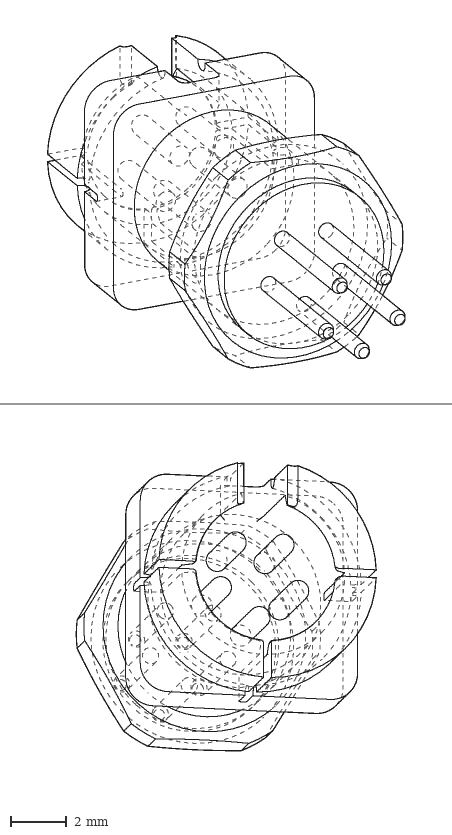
import cadquery as cq
import math


total_length = 18.0
flange_start = 3.1
flange_end = 5.5
barrel_end = 13.0

collar_radius = 4.0
flange_size = 2 * collar_radius
flange_corner_radius = 1.0
barrel_radius = 6.35 / 2

groove_radius = 0.3

edge_radius = 0.3
cavity_depth = 4.48
cavity_radius = 5.38 / 2 + edge_radius
lip_radius = 2.57
lip_end = 0.38
lip_taper_end = 0.74

key_slot_width = 1.6
slit_width = 0.29
slit_end = 4.2
slit_angles = (90, 180, 270)
slit_edge_radius = 0.15

pin_count = 5
pin_circle_radius = 1.5
pin_tip_x = 0.99
contact_radius = 0.77 / 2
tail_radius = 0.6 / 2
tail_chamfer_length = 0.2
tail_chamfer_depth = 0.09

nut_start = 10.5
nut_thickness = 2.0
nut_across_flats = flange_size
nut_corner_radius = 8.7 / 2
nut_chamfer_length = 0.36
nut_chamfer_angle = 60


def disc(start, end, radius):
    """Cylinder on the connector axis between two positions along X."""
    return cq.Workplane("YZ", origin=(start, 0, 0)).circle(radius).extrude(end - start)


def revolve_about_x(profile):
    """Turn a closed XY profile once round the connector axis."""
    return profile.revolve(360, (0, 0, 0), (1, 0, 0))


def make_shell():
    """Solid outside shape: grooved collar, square flange and round barrel."""
    collar = disc(0, flange_start, collar_radius)
    flange = (
        cq.Workplane("YZ", origin=(flange_start, 0, 0))
        .rect(flange_size, flange_size)
        .extrude(flange_end - flange_start)
        .edges("|X")
        .fillet(flange_corner_radius)
    )
    barrel = disc(flange_end, barrel_end, barrel_radius)
    groove = revolve_about_x(
        cq.Workplane("XY").moveTo(flange_start - groove_radius, collar_radius).circle(groove_radius)
    )
    return collar.cut(groove).union(flange).union(barrel)


def make_key_slot():
    """Slot open to the mating face and to the top."""
    return cq.Workplane("XY").box(
        cavity_depth, key_slot_width, flange_size, centered=(False, True, False)
    )


def make_cavity():
    """Cavity and key slot as one tool, with a rounded floor edge."""
    bore = disc(0, cavity_depth, cavity_radius)
    return bore.union(make_key_slot()).faces(">X").edges().fillet(edge_radius)


def make_lip():
    """Ring that narrows the cavity just behind the mating face."""
    outer = (cavity_radius + collar_radius) / 2
    profile = (
        cq.Workplane("XY")
        .moveTo(0, outer)
        .lineTo(0, lip_radius + edge_radius)
        .radiusArc((edge_radius, lip_radius), -edge_radius)
        .lineTo(lip_end, lip_radius)
        .lineTo(lip_taper_end, cavity_radius)
        .lineTo(lip_taper_end, outer)
        .close()
    )
    return revolve_about_x(profile)


def make_slot_mouth():
    """Key slot opening that flares out in a round edge at the mating face."""
    half = key_slot_width / 2
    return (
        cq.Workplane("XY")
        .moveTo(0, -half - edge_radius)
        .radiusArc((edge_radius, -half), -edge_radius)
        .lineTo(lip_taper_end, -half)
        .lineTo(lip_taper_end, half)
        .lineTo(edge_radius, half)
        .radiusArc((0, half + edge_radius), -edge_radius)
        .close()
        .extrude(flange_size)
    )


def make_slit(angle):
    """Narrow radial slit with a round end, turned about X from the top."""
    half = slit_width / 2
    return (
        cq.Workplane("XY")
        .moveTo(0, -half)
        .lineTo(slit_end - half, -half)
        .threePointArc((slit_end, 0), (slit_end - half, half))
        .lineTo(0, half)
        .close()
        .extrude(flange_size)
        .rotate((0, 0, 0), (1, 0, 0), angle)
    )


def make_slit_edge_rounding(angle):
    """Tool that rounds the two edges where a slit breaks through the lip bore."""
    half = slit_width / 2
    outer_half = half + slit_edge_radius
    base = math.sqrt(lip_radius**2 - outer_half**2)
    return (
        cq.Workplane("YZ")
        .moveTo(-outer_half, base)
        .radiusArc((-half, base + slit_edge_radius), -slit_edge_radius)
        .lineTo(half, base + slit_edge_radius)
        .radiusArc((outer_half, base), -slit_edge_radius)
        .close()
        .extrude(lip_taper_end)
        .rotate((0, 0, 0), (1, 0, 0), angle)
    )


def make_pin(index):
    """Pin with a domed contact in the cavity and a chamfered tail behind the barrel."""
    angle = math.radians(180 + index * 360 / pin_count)
    profile = (
        cq.Workplane("XY")
        .moveTo(pin_tip_x, 0)
        .radiusArc((pin_tip_x + contact_radius, contact_radius), contact_radius)
        .lineTo(barrel_end, contact_radius)
        .lineTo(barrel_end, tail_radius)
        .lineTo(total_length - tail_chamfer_length, tail_radius)
        .lineTo(total_length, tail_radius - tail_chamfer_depth)
        .lineTo(total_length, 0)
        .close()
    )
    place = (0, pin_circle_radius * math.sin(angle), pin_circle_radius * math.cos(angle))
    return revolve_about_x(profile).translate(place)


def make_housing():
    """Housing with cavity, lip, slot and slits, joined to its pins."""
    body = make_shell().cut(make_cavity()).union(make_lip()).cut(make_slot_mouth())
    for angle in slit_angles:
        body = body.cut(make_slit(angle)).cut(make_slit_edge_rounding(angle))
    for index in range(pin_count):
        body = body.union(make_pin(index))
    return body.solids()


def make_nut():
    """Hexagonal nut whose corners are turned down and chamfered on both faces."""
    corner_diameter = nut_across_flats / math.cos(math.pi / 6)
    hexagon = (
        cq.Workplane("YZ", origin=(nut_start, 0, 0))
        .polygon(6, corner_diameter)
        .extrude(nut_thickness)
    )
    nut_end = nut_start + nut_thickness
    face_radius = nut_corner_radius - nut_chamfer_length * math.tan(math.radians(nut_chamfer_angle))
    turned = revolve_about_x(
        cq.Workplane("XY")
        .moveTo(nut_start, barrel_radius)
        .lineTo(nut_start, face_radius)
        .lineTo(nut_start + nut_chamfer_length, nut_corner_radius)
        .lineTo(nut_end - nut_chamfer_length, nut_corner_radius)
        .lineTo(nut_end, face_radius)
        .lineTo(nut_end, barrel_radius)
        .close()
    )
    return hexagon.intersect(turned).solids()


housing = make_housing()
nut = make_nut()
result = cq.Compound.makeCompound([housing.val(), nut.val()])